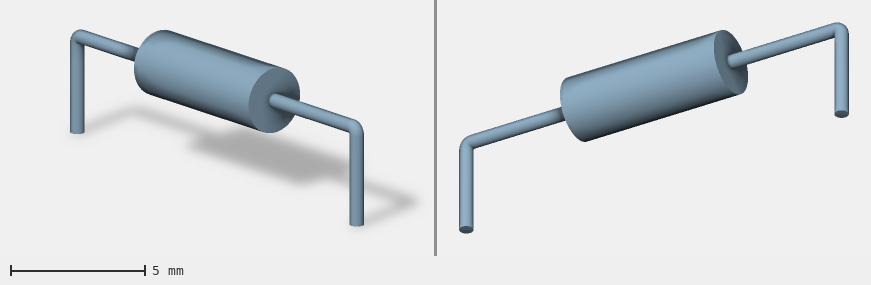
import cadquery as cq

span = 16.79
height = 5.0

body_diameter = 2.5
body_length = 6.67

lead_diameter = 0.54
bend_inner_radius = 0.002

lead_radius = lead_diameter / 2
bend_radius = lead_radius + bend_inner_radius
axis_height = height - body_diameter / 2
leg_x = span / 2 - lead_radius
bend_start_x = leg_x - bend_radius
leg_length = axis_height - bend_radius


def make_body():
    """Solid cylinder along X, centred between the legs."""
    return (
        cq.Workplane("YZ", origin=(-body_length / 2, 0, axis_height))
        .circle(body_diameter / 2)
        .extrude(body_length)
    )


def make_lead(side):
    """Wire from an end face of the body, bent down; side is +1 for +X, -1 for -X."""
    face_x = body_length / 2
    straight = (
        cq.Workplane("YZ", origin=(face_x, 0, axis_height))
        .circle(lead_radius)
        .extrude(bend_start_x - face_x)
    )
    bend = (
        cq.Workplane("YZ", origin=(bend_start_x, 0, axis_height))
        .circle(lead_radius)
        .revolve(90, (0, -bend_radius, 0), (1, -bend_radius, 0))
    )
    leg = cq.Workplane("XY", origin=(leg_x, 0, 0)).circle(lead_radius).extrude(leg_length)
    lead = straight.union(bend).union(leg).solids()
    if side < 0:
        lead = lead.mirror("YZ").solids()
    return lead


body = make_body()
leads = [make_lead(side) for side in (-1, 1)]

result = cq.Compound.makeCompound([body.val(), *[lead.val() for lead in leads]])